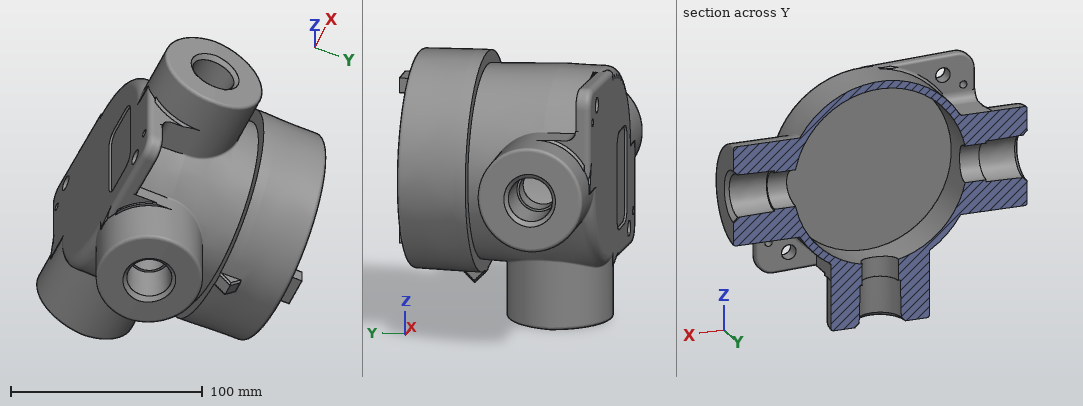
import cadquery as cq
import math

HUB_REACH = 82.5
HUB_RADIUS = 27.7
HUB_END_ROUND = 1.7
HUB_END_DRAFT = 1.0
HUB_ROOT_FILLET = 1.2

BORE_MOUTH_RADIUS = 14.2
BORE_LIP = 2.5
BORE_END_RADIUS = 11.2
BORE_LENGTH = 23.1
PASSAGE_RADIUS = 20.1 / 2

BACK_Y = -28.0
BODY_RADIUS = 53.0
BODY_BACK_RADIUS = 52.7
BACK_ROUND = 6.3
NECK_RADIUS = 102.7 / 2
NECK_END_Y = 69.3
CAVITY_RADIUS = 97.0 / 2
CAVITY_FLOOR_Y = BACK_Y + BACK_ROUND

COVER_RIM_Y = 39.0
COVER_BAND_Y = 44.9
COVER_TOP_Y = 75.6
COVER_RADIUS = 58.1
COVER_TOP_RADIUS = 57.5
COVER_ROUND = 2.1
LUG_WIDTH = 16.2
LUG_HEIGHT = 8.3
LUG_INNER_Z = 36.3
LUG_OUTER_Z = 44.2
POINTER_TIP_Z = -64.9
POINTER_WIDTH = 8.3
POINTER_BEVEL = 1.0

PLATE_SIDE_X = 61.3
PLATE_CORNER_Z = 54.5
PLATE_CENTRE_Z = 51.8
PLATE_THICKNESS = 8.0
PLATE_CORNER_RADIUS = 9.4
PLATE_FRONT_ROUND = 3.1
PLATE_BACK_ROUND = 1.5
EAR_ROOT_FILLET = 1.5
BOLT_HOLE_X, BOLT_HOLE_Z, BOLT_HOLE_DIAMETER = 43.3, 43.3, 8.1
PILOT_HOLE_X, PILOT_HOLE_Z, PILOT_HOLE_DIAMETER = 54.6, 36.5, 4.0

WEB_FILLET = 5.3
WEB_ROOT_X = 33.0
COLLAR = 1.3
SIDE_RUNOUT = 15.5

NAMEPLATE_X, NAMEPLATE_Z = 24.1, -11.5
NAMEPLATE_WIDTH, NAMEPLATE_LENGTH = 26.4, 52.5
NAMEPLATE_CORNER = 6.6
NAMEPLATE_DEPTH = 1.0
NAMEPLATE_DRAFT = 45.0

HUB_ANGLES = (0, 90, 180)


def box(x_range, y_range, z_range):
    """Box between two limits on each axis."""
    size = [high - low for low, high in (x_range, y_range, z_range)]
    corner = (x_range[0], y_range[0], z_range[0])
    return cq.Workplane("XY").box(*size, centered=False).translate(corner)


def turn(shape, angle):
    """Turn a shape about the housing axis."""
    return shape.rotate((0, 0, 0), (0, 1, 0), angle)


def prism(points, y_start, length):
    """Straight prism along +Y from an outline of (x, z) points."""
    return cq.Workplane("XZ", origin=(0, y_start, 0)).polyline(points).close().extrude(-length)


def body_shell():
    """Drafted round body with a rounded back edge and the neck that enters the cover."""
    round_start_y = BACK_Y + BACK_ROUND
    face_radius = BODY_BACK_RADIUS - BACK_ROUND
    diagonal = BACK_ROUND * math.sqrt(0.5)
    round_middle = (face_radius + diagonal, round_start_y - diagonal)
    return (
        cq.Workplane("XY")
        .moveTo(0, BACK_Y)
        .lineTo(face_radius, BACK_Y)
        .threePointArc(round_middle, (BODY_BACK_RADIUS, round_start_y))
        .lineTo(BODY_RADIUS, 0)
        .lineTo(NECK_RADIUS, COVER_RIM_Y)
        .lineTo(NECK_RADIUS, NECK_END_Y)
        .lineTo(0, NECK_END_Y)
        .close()
        .revolve(360, (0, 0, 0), (0, 1, 0))
    )


def hub():
    """Solid hub along +X from the housing axis, its end face drafted both ways from Y = 0."""
    draft_end = HUB_REACH - HUB_END_DRAFT
    outline = [
        (0, -HUB_RADIUS),
        (draft_end, -HUB_RADIUS),
        (HUB_REACH, 0),
        (draft_end, HUB_RADIUS),
        (0, HUB_RADIUS),
    ]
    envelope = cq.Workplane("XY").polyline(outline).close().extrude(HUB_RADIUS, both=True)
    cylinder = cq.Workplane("YZ").circle(HUB_RADIUS).extrude(HUB_REACH)
    return cylinder.intersect(envelope).edges("%ELLIPSE").fillet(HUB_END_ROUND)


def hub_bore():
    """Chamfered, tapered bore along X and its passage into the cavity."""
    lip_end = HUB_REACH - BORE_LIP
    bore_end = HUB_REACH - BORE_LENGTH
    return (
        cq.Workplane("XY")
        .moveTo(0, 0)
        .lineTo(0, PASSAGE_RADIUS)
        .lineTo(bore_end, PASSAGE_RADIUS)
        .lineTo(bore_end, BORE_END_RADIUS)
        .lineTo(lip_end, BORE_MOUTH_RADIUS - BORE_LIP)
        .lineTo(HUB_REACH, BORE_MOUTH_RADIUS)
        .lineTo(HUB_REACH, 0)
        .close()
        .revolve(360, (0, 0, 0), (1, 0, 0))
    )


def ear_outline():
    """Corner points (x, z) of the -X, +Z mounting ear."""
    return [
        (0, 0),
        (-PLATE_SIDE_X, 0),
        (-PLATE_SIDE_X, PLATE_CORNER_Z),
        (0, PLATE_CENTRE_Z),
    ]


def mounting_ear():
    """Rounded plate over the -X, +Z quarter of the back face."""
    plate = prism(ear_outline(), BACK_Y, PLATE_THICKNESS)
    outer_corner = (-PLATE_SIDE_X, BACK_Y + PLATE_THICKNESS / 2, PLATE_CORNER_Z)
    side_point = (-PLATE_SIDE_X, BACK_Y, PLATE_CORNER_Z / 2)
    back_point = (-PLATE_SIDE_X, BACK_Y + PLATE_THICKNESS, PLATE_CORNER_Z / 2)
    rounds = (
        (outer_corner, PLATE_CORNER_RADIUS),
        (side_point, PLATE_FRONT_ROUND),
        (back_point, PLATE_BACK_ROUND),
    )
    for point, radius in rounds:
        plate = plate.edges(cq.selectors.NearestToPointSelector(point)).fillet(radius)
    return plate


def ear_root_fillet():
    """Concave ring between the back of the ear and the round body."""
    ear_back_y = BACK_Y + PLATE_THICKNESS
    end_y = ear_back_y + EAR_ROOT_FILLET
    outer_radius = BODY_BACK_RADIUS + EAR_ROOT_FILLET
    diagonal = EAR_ROOT_FILLET * math.sqrt(0.5)
    ring = (
        cq.Workplane("XY")
        .moveTo(CAVITY_RADIUS, ear_back_y)
        .lineTo(outer_radius, ear_back_y)
        .threePointArc((outer_radius - diagonal, end_y - diagonal), (BODY_BACK_RADIUS, end_y))
        .lineTo(CAVITY_RADIUS, end_y)
        .close()
        .revolve(360, (0, 0, 0), (0, 1, 0))
    )
    return ring.intersect(prism(ear_outline(), ear_back_y, EAR_ROOT_FILLET))


def side_web():
    """Squared-off quarter of the -X hub behind the ear, with its fillet to the ear."""
    ear_back_y = BACK_Y + PLATE_THICKNESS
    x_range = (-PLATE_SIDE_X, -WEB_ROOT_X)
    web = box(x_range, (BACK_Y + PLATE_FRONT_ROUND, 0), (0, HUB_RADIUS))
    fillet_y = ear_back_y + WEB_FILLET
    fillet_z = HUB_RADIUS + WEB_FILLET
    fillet = box(x_range, (ear_back_y - PLATE_BACK_ROUND, fillet_y), (HUB_RADIUS, fillet_z))
    hollow = (
        cq.Workplane("YZ", origin=(x_range[0], fillet_y, fillet_z))
        .circle(WEB_FILLET)
        .extrude(x_range[1] - x_range[0])
    )
    return web.union(fillet.cut(hollow))


def side_collar():
    """Sloped quarter ring that joins the end of the side web to the -X hub."""
    start = -PLATE_SIDE_X - COLLAR
    ring = (
        cq.Workplane("XY")
        .moveTo(start, 0)
        .lineTo(start, HUB_RADIUS)
        .lineTo(-PLATE_SIDE_X, HUB_RADIUS + COLLAR)
        .lineTo(-PLATE_SIDE_X, 0)
        .close()
        .revolve(360, (0, 0, 0), (1, 0, 0))
    )
    return ring.intersect(box((start, -PLATE_SIDE_X), (BACK_Y + PLATE_FRONT_ROUND, 0), (0, HUB_RADIUS)))


def ear_with_web():
    """Complete -X ear with its web, fillet and collar."""
    return mounting_ear().union(ear_root_fillet()).union(side_web()).union(side_collar())


def lower_web():
    """Squared-off +X quarter of the lower hub behind the ear, with a small ring around the hub."""
    slope = (PLATE_CORNER_Z - PLATE_CENTRE_Z) / PLATE_SIDE_X
    front_y = BACK_Y + PLATE_FRONT_ROUND
    outline = [
        (0, -WEB_ROOT_X),
        (HUB_RADIUS, -WEB_ROOT_X),
        (HUB_RADIUS, -PLATE_CENTRE_Z - slope * HUB_RADIUS),
        (0, -PLATE_CENTRE_Z),
    ]
    web = prism(outline, front_y, -front_y)
    ring = cq.Workplane("XY").circle(HUB_RADIUS + COLLAR).extrude(-HUB_REACH)
    return web.union(web.translate((0, 0, -COLLAR)).intersect(ring))


def edge_runouts():
    """Wedges where the rounded ear edges fade into the tangent -X and -Z hubs."""
    side_inner = -PLATE_SIDE_X + PLATE_FRONT_ROUND
    side = [(side_inner, 0), (-PLATE_SIDE_X - COLLAR, 0), (side_inner, SIDE_RUNOUT)]
    lower_inner = -PLATE_CENTRE_Z + PLATE_FRONT_ROUND
    lower = [(0, lower_inner), (0, -PLATE_CENTRE_Z - COLLAR), (SIDE_RUNOUT, lower_inner)]
    return prism(side, BACK_Y, PLATE_THICKNESS).union(prism(lower, BACK_Y, PLATE_THICKNESS))


def ear_hole(x, z, diameter):
    """Cutter for a hole through an ear."""
    depth = PLATE_THICKNESS + WEB_FILLET
    return cq.Workplane("XZ", origin=(x, BACK_Y, z)).circle(diameter / 2).extrude(-depth)


def nameplate_recess():
    """Shallow rounded recess with sloped walls in the back face."""
    return (
        cq.Workplane("XZ", origin=(NAMEPLATE_X, BACK_Y, NAMEPLATE_Z))
        .sketch()
        .rect(NAMEPLATE_WIDTH, NAMEPLATE_LENGTH)
        .vertices()
        .fillet(NAMEPLATE_CORNER)
        .finalize()
        .extrude(-NAMEPLATE_DEPTH, taper=NAMEPLATE_DRAFT)
    )


def fillet_hub_roots(housing):
    """Fillet the curves where the hubs meet the drafted body."""
    reach = HUB_REACH - BORE_LENGTH
    near_body = cq.selectors.BoxSelector((-reach, BACK_Y, -reach), (reach, COVER_RIM_Y, reach))
    return housing.edges("%BSPLINE").edges(near_body).fillet(HUB_ROOT_FILLET)


def make_housing():
    housing = body_shell()
    for angle in HUB_ANGLES:
        housing = housing.union(turn(hub(), angle))
    housing = fillet_hub_roots(housing)
    for angle in (0, 180):
        housing = housing.union(turn(ear_with_web(), angle))
    housing = housing.union(lower_web()).union(edge_runouts())

    cavity = (
        cq.Workplane("XZ", origin=(0, CAVITY_FLOOR_Y, 0))
        .circle(CAVITY_RADIUS)
        .extrude(CAVITY_FLOOR_Y - NECK_END_Y)
    )
    housing = housing.cut(cavity)
    for angle in HUB_ANGLES:
        housing = housing.cut(turn(hub_bore(), angle))
    for side in (-1, 1):
        housing = housing.cut(ear_hole(side * BOLT_HOLE_X, -side * BOLT_HOLE_Z, BOLT_HOLE_DIAMETER))
        housing = housing.cut(ear_hole(side * PILOT_HOLE_X, -side * PILOT_HOLE_Z, PILOT_HOLE_DIAMETER))
    return housing.cut(nameplate_recess())


def cover_pointer():
    """Triangular pointer with bevelled ends under the rim of the cover."""
    half_base = COVER_BAND_Y - COVER_RIM_Y
    base_z = POINTER_TIP_Z + half_base
    root_z = -(NECK_RADIUS + COVER_RADIUS) / 2
    outline = [
        (COVER_BAND_Y, POINTER_TIP_Z),
        (COVER_BAND_Y + half_base, base_z),
        (COVER_BAND_Y + half_base, root_z),
        (COVER_RIM_Y, root_z),
        (COVER_RIM_Y, base_z),
    ]
    pointer = cq.Workplane("YZ").polyline(outline).close().extrude(POINTER_WIDTH / 2, both=True)
    return pointer.faces("<X or >X").edges("not #Z").edges("not #Y").chamfer(POINTER_BEVEL)


def make_cover():
    """Cap over the neck, with two wrench lugs and a pointer."""
    round_start_y = COVER_TOP_Y - COVER_ROUND
    diagonal = COVER_ROUND * math.sqrt(0.5)
    round_centre_radius = COVER_TOP_RADIUS - COVER_ROUND
    cap = (
        cq.Workplane("XY")
        .moveTo(0, COVER_RIM_Y)
        .lineTo(COVER_RADIUS, COVER_RIM_Y)
        .lineTo(COVER_RADIUS, COVER_BAND_Y)
        .lineTo(COVER_TOP_RADIUS, round_start_y)
        .threePointArc(
            (round_centre_radius + diagonal, round_start_y + diagonal),
            (round_centre_radius, COVER_TOP_Y),
        )
        .lineTo(0, COVER_TOP_Y)
        .close()
        .revolve(360, (0, 0, 0), (0, 1, 0))
    )
    cap = cap.union(cover_pointer())
    neck_socket = (
        cq.Workplane("XZ", origin=(0, COVER_RIM_Y, 0))
        .circle(NECK_RADIUS)
        .extrude(COVER_RIM_Y - NECK_END_Y)
    )
    cap = cap.cut(neck_socket)
    lug_x = (-LUG_WIDTH / 2, LUG_WIDTH / 2)
    lug_y = (COVER_TOP_Y, COVER_TOP_Y + LUG_HEIGHT)
    for lug_z in ((LUG_INNER_Z, LUG_OUTER_Z), (-LUG_OUTER_Z, -LUG_INNER_Z)):
        cap = cap.union(box(lug_x, lug_y, lug_z))
    return cap


housing = make_housing()
cover = make_cover()
result = cq.Compound.makeCompound([housing.val(), cover.val()])